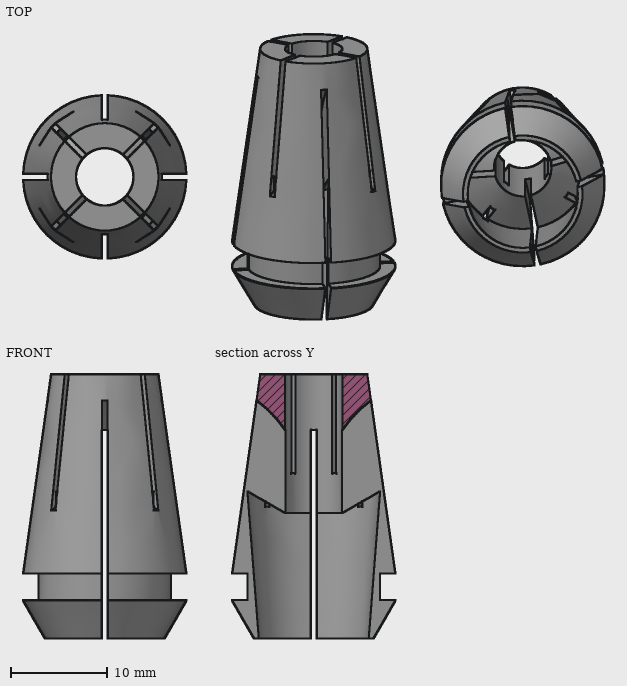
import cadquery as cq
import math

height = 27.5
top_radius = 5.58
max_radius = 8.5
groove_radius = 6.9
groove_bottom = 4.05
groove_top = 6.76
nose_angle = 30.0
nose_radius = 6.22

bore_radius = 2.97
relief_mouth_radius = 5.72
relief_top_radius = 6.9
relief_top = 15.32
relief_roof_angle = 30.0

slots_per_end = 4
slot_pitch = 360 / slots_per_end
slot_width = 0.6
saw_radius = 12.38
upper_slot_bore_end = 17.25
upper_slot_outer_radius = 7.54
upper_slot_outer_end = 13.3
lower_slot_bore_end = 21.67
lower_slot_outer_radius = 5.95
lower_slot_outer_end = 24.75
overcut = 1.38


def make_body():
    """Tapered outer body with a groove above the conical nose."""
    nose_height = (max_radius - nose_radius) / math.tan(math.radians(nose_angle))
    outline = [
        (0, 0),
        (nose_radius, 0),
        (max_radius, nose_height),
        (max_radius, groove_bottom),
        (groove_radius, groove_bottom),
        (groove_radius, groove_top),
        (max_radius, groove_top),
        (top_radius, height),
        (0, height),
    ]
    return cq.Workplane("XZ").polyline(outline).close().revolve(360, (0, 0), (0, 1))


def make_bore():
    """Straight bore that opens into a relief with a conical roof."""
    roof_drop = (relief_top_radius - bore_radius) * math.tan(math.radians(relief_roof_angle))
    outline = [
        (0, 0),
        (relief_mouth_radius, 0),
        (relief_top_radius, relief_top),
        (bore_radius, relief_top - roof_drop),
        (bore_radius, height),
        (0, height),
    ]
    return cq.Workplane("XZ").polyline(outline).close().revolve(360, (0, 0), (0, 1))


def make_slot(bore_end, outer_radius, outer_end, open_end, angle):
    """Radial slot from open_end to an arc that runs from the bore to the outer cone."""
    run = outer_radius - bore_radius
    rise = outer_end - bore_end
    chord = math.hypot(run, rise)
    bulge = saw_radius - math.sqrt(saw_radius**2 - (chord / 2) ** 2)
    side = math.copysign(1, bore_end - open_end)
    middle = (
        bore_radius + run / 2 - side * bulge * rise / chord,
        bore_end + rise / 2 + side * bulge * run / chord,
    )
    reach = max_radius + overcut
    slot = (
        cq.Workplane("XZ")
        .moveTo(0, open_end)
        .lineTo(0, bore_end)
        .lineTo(bore_radius, bore_end)
        .threePointArc(middle, (outer_radius, outer_end))
        .lineTo(reach, outer_end)
        .lineTo(reach, open_end)
        .close()
        .extrude(slot_width / 2, both=True)
    )
    return slot.rotate((0, 0, 0), (0, 0, 1), angle)


result = make_body().cut(make_bore())
for index in range(slots_per_end):
    lower_angle = index * slot_pitch
    upper_angle = lower_angle + slot_pitch / 2
    result = result.cut(
        make_slot(lower_slot_bore_end, lower_slot_outer_radius, lower_slot_outer_end, 0, lower_angle)
    )
    result = result.cut(
        make_slot(upper_slot_bore_end, upper_slot_outer_radius, upper_slot_outer_end, height, upper_angle)
    )